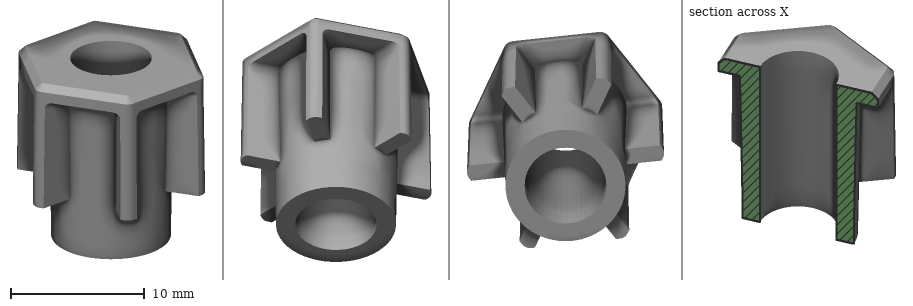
import cadquery as cq
import math

total_height = 14.5
rib_bottom = 4.5
plate_underside = 13.2

head_width_flats = 13.05
head_draft = 0.75
corner_radius = 0.77
top_chamfer = 0.5

corner_count = 6
rib_thickness = 1.25
rib_fillet = 0.5

sleeve_bottom_radius = 4.5
sleeve_draft = 1.0
bore_radius = 3.05


def make_head_envelope():
    """Drafted hexagonal prism with rounded corners and a chamfered top."""
    diameter_corners = head_width_flats / math.cos(math.pi / corner_count)
    prism = (
        cq.Workplane("XY")
        .workplane(offset=rib_bottom)
        .polygon(corner_count, diameter_corners)
        .extrude(total_height - rib_bottom, taper=head_draft)
    )
    upright_edges = prism.edges("not(#Z)")
    rounded = upright_edges.fillet(corner_radius)
    return rounded.faces(">Z").edges().chamfer(top_chamfer)


def make_plate():
    """Slab that closes the head above the ribs."""
    return (
        cq.Workplane("XY")
        .workplane(offset=plate_underside)
        .circle(head_width_flats)
        .extrude(total_height - plate_underside)
    )


def make_rib_pair():
    """Wall along X through the axis, flaring into the plate with concave arcs."""
    half = rib_thickness / 2
    flare_half = half + rib_fillet
    flare_start = plate_underside - rib_fillet
    arc_inset = rib_fillet * (1 - math.sqrt(0.5))
    arc_mid_y = half + arc_inset
    arc_mid_z = plate_underside - arc_inset
    return (
        cq.Workplane("YZ")
        .moveTo(-half, rib_bottom)
        .lineTo(half, rib_bottom)
        .lineTo(half, flare_start)
        .threePointArc((arc_mid_y, arc_mid_z), (flare_half, plate_underside))
        .lineTo(-flare_half, plate_underside)
        .threePointArc((-arc_mid_y, arc_mid_z), (-half, flare_start))
        .close()
        .extrude(head_width_flats, both=True)
    )


def make_head():
    """Plate and ribs trimmed to the outer shape of the head."""
    head = make_plate()
    rib_pair = make_rib_pair()
    for index in range(corner_count // 2):
        angle = index * 360 / corner_count
        head = head.union(rib_pair.rotate((0, 0, 0), (0, 0, 1), angle))
    return head.intersect(make_head_envelope())


def make_sleeve():
    """Solid drafted core, reaching from the base to the top face."""
    return (
        cq.Workplane("XY")
        .circle(sleeve_bottom_radius)
        .extrude(total_height, taper=-sleeve_draft)
    )


bore = cq.Workplane("XY").circle(bore_radius).extrude(total_height)
result = make_head().union(make_sleeve()).cut(bore)